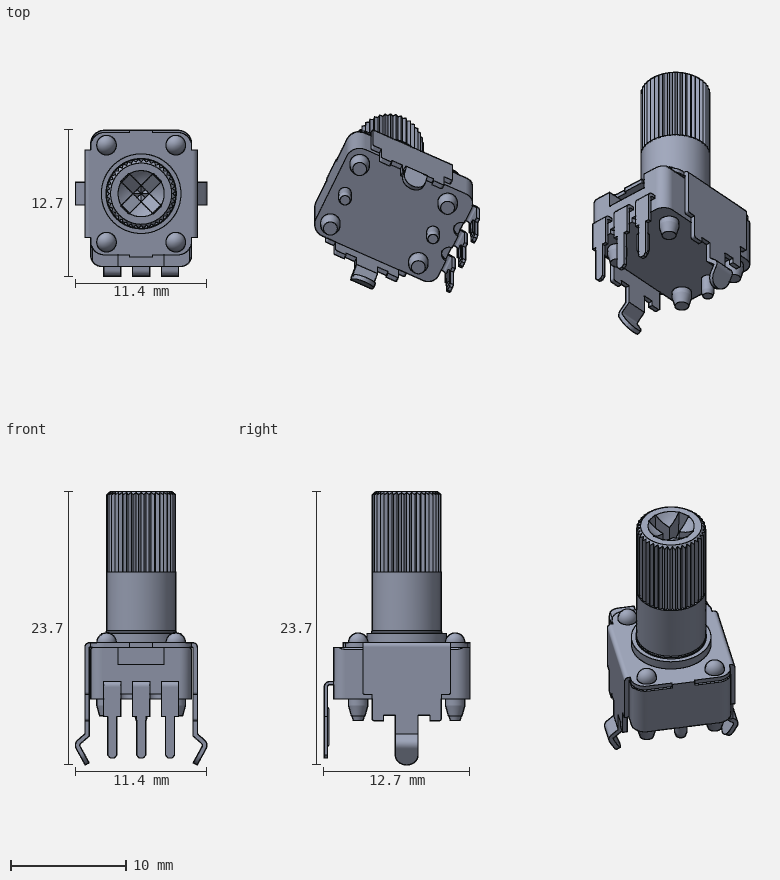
import math

import cadquery as cq

SHAFT_R = 3.0
SHAFT_TOP = 18.0
KNURL_LENGTH = 7.0
KNURL_TEETH = 40
KNURL_DEPTH = 0.24
SHAFT_CHAMFER = 0.35
SHAFT_CHAMFER_HEIGHT = 0.3
RING_R = 3.05
RING_CONE_START = 5.83
RING_TOP = 5.95
COLLAR_R = 3.45
COLLAR_TOP = 5.7

RECESS_R = 2.0
DISH_SPHERE_R = 2.85
SLOT_WIDTH = 1.0
SLOT_WALL_DEPTH = 2.2
SLOT_FLOOR_HALF_LENGTH = 1.9
SLOT_DEPTH = SLOT_WALL_DEPTH + SLOT_FLOOR_HALF_LENGTH

BODY_HALF_WIDTH = 4.38
BODY_FRONT = -6.32
BODY_BACK = 5.5
BODY_HEIGHT = 4.5
FRONT_CORNER_R = 1.0
BACK_CORNER_R = 1.2
TOP_CHAMFER = 0.18
WINDOW_WIDTH = 4.0
WINDOW_FLOOR = 3.0
WINDOW_DEPTH = 1.5
SCALLOP_R = 0.65
SCALLOP_HEIGHT = 0.45

SHEET = 0.4
COVER_TOP = BODY_HEIGHT + SHEET
COVER_HALF_LENGTH = 5.3
COVER_CORNER_R = 1.2
COVER_TAB_HALF_WIDTH = 1.0
COVER_TAB_REACH = 5.5
FLAP_OUTER_X = 4.88
FLAP_HALF_LENGTH = 3.8
FLAP_BOTTOM = 0.4
SKIRT_HALF_LENGTH = 3.0
SKIRT_BOTTOM = -1.87
NOTCH_OUTER_Y = 2.0
NOTCH_TOP = -1.4
FLAP_CORNER_R = 0.2
BEND_R = 0.4

LEG_HALF_WIDTH = 1.0
LEG_BEND_Z = -3.0
LEG_KNEE_X = 5.86
LEG_KNEE_Z = -3.86
LEG_KNEE_R = 0.6
LEG_TIP_X = 4.85
LEG_TIP_Z = -5.7

RIVET_X = 3.0
RIVET_Y = 4.2
RIVET_R = 0.85
PEG_ROOT = 0.45
PEG_R = 0.85
PEG_TIP_R = 0.6
PEG_TAPER_START = -0.55
PEG_BOTTOM = -1.45
SMALL_PEG_R = 0.55
SMALL_PEG_TIP_R = 0.43
SMALL_PEG_BOTTOM = -1.85

PIN_PITCH = 2.5
PIN_THICKNESS = 0.3
PIN_FRONT = -7.15
PIN_TOP = 1.55
PIN_WIDTH = 1.5
PIN_BEND_R = 0.5
PIN_SHOULDER = -1.5
PIN_TAIL_WIDTH = 0.8
PIN_TIP = -5.1
PIN_TIP_WIDTH = 0.35
PIN_TIP_CHAMFER = 0.25
RIB_TOP = -0.7
RIB_BOTTOM = -4.1
RIB_HEIGHT = 0.13
RIB_WIDTH = 0.4


def turned(profile):
    """Solid of revolution about Z from (radius, z) points."""
    return cq.Workplane("XZ").polyline(profile).close().revolve(360, (0, 0), (0, 1))


def box(x0, x1, y0, y1, z0, z1):
    return cq.Workplane("XY").box(x1 - x0, y1 - y0, z1 - z0, centered=False).translate((x0, y0, z0))


def along_x(profile, x0, x1):
    """Prism from (y, z) points, between two X positions."""
    return cq.Workplane("YZ").polyline(profile).close().extrude(x1 - x0).translate((x0, 0, 0))


def along_y(profile, half_length):
    """Prism from (x, z) points, reaching half_length to both sides of Y = 0."""
    return cq.Workplane("XZ").polyline(profile).close().extrude(half_length, both=True)


def fillet_near(solid, point, radius):
    return solid.edges(cq.selectors.NearestToPointSelector(point)).fillet(radius)


def make_shaft():
    shaft = turned([
        (0, BODY_HEIGHT),
        (COLLAR_R, BODY_HEIGHT),
        (COLLAR_R, COLLAR_TOP),
        (RING_R, COLLAR_TOP),
        (RING_R, RING_CONE_START),
        (SHAFT_R, RING_TOP),
        (SHAFT_R, SHAFT_TOP - SHAFT_CHAMFER_HEIGHT),
        (SHAFT_R - SHAFT_CHAMFER, SHAFT_TOP),
        (0, SHAFT_TOP),
    ])
    return shaft.intersect(make_knurl_envelope())


def make_knurl_envelope():
    """Toothed prism over the knurled length, standing on a plain cylinder wider than the shaft."""
    knurl_start = SHAFT_TOP - KNURL_LENGTH
    half_pitch = math.pi / KNURL_TEETH
    teeth = []
    for i in range(2 * KNURL_TEETH):
        radius = SHAFT_R if i % 2 else SHAFT_R - KNURL_DEPTH
        angle = i * half_pitch
        teeth.append((radius * math.cos(angle), radius * math.sin(angle)))
    knurl = cq.Workplane("XY").workplane(offset=knurl_start).polyline(teeth).close().extrude(KNURL_LENGTH)
    plain = cq.Workplane("XY").circle(2 * COLLAR_R).extrude(knurl_start)
    return plain.union(knurl)


def make_recess():
    centre_height = math.sqrt(DISH_SPHERE_R ** 2 - RECESS_R ** 2)
    recess = cq.Workplane("XY").sphere(DISH_SPHERE_R).translate((0, 0, SHAFT_TOP + centre_height))
    slot = along_y(
        [
            (-RECESS_R, SHAFT_TOP),
            (RECESS_R, SHAFT_TOP),
            (SLOT_FLOOR_HALF_LENGTH, SHAFT_TOP - SLOT_WALL_DEPTH),
            (0, SHAFT_TOP - SLOT_DEPTH),
            (-SLOT_FLOOR_HALF_LENGTH, SHAFT_TOP - SLOT_WALL_DEPTH),
        ],
        SLOT_WIDTH / 2,
    )
    for angle in (45, -45):
        recess = recess.union(slot.rotate((0, 0, 0), (0, 0, 1), angle))
    return recess


def make_body():
    """Rounded block with chamfered long top edges, a front window and scallops between the terminals."""
    body = box(-BODY_HALF_WIDTH, BODY_HALF_WIDTH, BODY_FRONT, BODY_BACK, 0, BODY_HEIGHT)
    body = body.edges("|Z and <Y").fillet(FRONT_CORNER_R)
    body = body.edges("|Z and >Y").fillet(BACK_CORNER_R)
    chamfered_section = (
        cq.Workplane("XZ")
        .rect(2 * BODY_HALF_WIDTH, 2 * BODY_HEIGHT)
        .extrude(BODY_BACK - BODY_FRONT, both=True)
        .edges("|Y and >Z")
        .chamfer(TOP_CHAMFER)
    )
    body = body.intersect(chamfered_section)
    window = box(
        -WINDOW_WIDTH / 2, WINDOW_WIDTH / 2,
        BODY_FRONT, BODY_FRONT + WINDOW_DEPTH,
        WINDOW_FLOOR, BODY_HEIGHT,
    )
    body = body.cut(window)
    for x in (-PIN_PITCH / 2, PIN_PITCH / 2):
        body = body.cut(cq.Workplane("XY").center(x, BODY_FRONT).circle(SCALLOP_R).extrude(SCALLOP_HEIGHT))
    return body


def make_cover():
    cover = box(
        -BODY_HALF_WIDTH, BODY_HALF_WIDTH,
        -COVER_HALF_LENGTH, COVER_HALF_LENGTH,
        BODY_HEIGHT, COVER_TOP,
    )
    cover = cover.edges("|Z").fillet(COVER_CORNER_R)
    tabs = box(
        -COVER_TAB_HALF_WIDTH, COVER_TAB_HALF_WIDTH,
        -COVER_TAB_REACH, COVER_TAB_REACH,
        BODY_HEIGHT, COVER_TOP,
    )
    flap = make_flap()
    return cover.union(tabs).union(flap).union(flap.mirror("YZ"))


def flap_outline():
    """Flap on the +X side seen square on, with its skirt, notches and leg, as a thick block."""
    reach = 2 * LEG_KNEE_X
    upper = along_x(
        [
            (-FLAP_HALF_LENGTH, COVER_TOP),
            (-FLAP_HALF_LENGTH, FLAP_BOTTOM),
            (FLAP_HALF_LENGTH, FLAP_BOTTOM),
            (FLAP_HALF_LENGTH, COVER_TOP),
        ],
        0, reach,
    )
    upper = upper.edges("|X and <Z").fillet(FLAP_CORNER_R)
    skirt = box(0, reach, -SKIRT_HALF_LENGTH, SKIRT_HALF_LENGTH, SKIRT_BOTTOM, COVER_TOP)
    skirt = skirt.edges("|X and <Z").fillet(FLAP_CORNER_R)
    for side in (-1, 1):
        y0, y1 = sorted((side * LEG_HALF_WIDTH, side * NOTCH_OUTER_Y))
        skirt = skirt.cut(box(0, reach, y0, y1, SKIRT_BOTTOM, NOTCH_TOP))
    leg = box(0, reach, -LEG_HALF_WIDTH, LEG_HALF_WIDTH, LEG_TIP_Z - SHEET, COVER_TOP)
    return upper.union(skirt).union(leg)


def make_flap():
    """Bent strip on the +X side, trimmed to the flap outline, with a round leg end."""
    inner_x = FLAP_OUTER_X - SHEET
    upper_angle = math.atan2(LEG_BEND_Z - LEG_KNEE_Z, LEG_KNEE_X - FLAP_OUTER_X)
    lower_angle = math.atan2(LEG_KNEE_Z - LEG_TIP_Z, LEG_KNEE_X - LEG_TIP_X)
    inner_bend_z = LEG_BEND_Z - SHEET * (1 - math.sin(upper_angle)) / math.cos(upper_angle)
    knee_bisector = (lower_angle - upper_angle) / 2
    knee_inset = SHEET / math.sin((lower_angle + upper_angle) / 2)
    inner_knee = (
        LEG_KNEE_X - knee_inset * math.cos(knee_bisector),
        LEG_KNEE_Z - knee_inset * math.sin(knee_bisector),
    )
    inner_tip = (
        LEG_TIP_X - SHEET * math.sin(lower_angle),
        LEG_TIP_Z + SHEET * math.cos(lower_angle),
    )
    strip = along_y(
        [
            (0, COVER_TOP),
            (FLAP_OUTER_X, COVER_TOP),
            (FLAP_OUTER_X, LEG_BEND_Z),
            (LEG_KNEE_X, LEG_KNEE_Z),
            (LEG_TIP_X, LEG_TIP_Z),
            inner_tip,
            inner_knee,
            (inner_x, inner_bend_z),
            (inner_x, BODY_HEIGHT),
            (0, BODY_HEIGHT),
        ],
        FLAP_HALF_LENGTH,
    )
    strip = fillet_near(strip, (FLAP_OUTER_X, 0, COVER_TOP), BEND_R)
    strip = fillet_near(strip, (LEG_KNEE_X, 0, LEG_KNEE_Z), LEG_KNEE_R)
    strip = fillet_near(strip, (inner_knee[0], 0, inner_knee[1]), LEG_KNEE_R - SHEET)
    return strip.intersect(flap_outline()).cut(leg_end_trim(lower_angle))


def leg_end_trim(lower_angle):
    """Waste around the half-round leg end, cut square to the sloping leg."""
    leg_face = cq.Plane(
        origin=(LEG_TIP_X, 0, LEG_TIP_Z),
        xDir=(math.cos(lower_angle), 0, math.sin(lower_angle)),
        normal=(math.sin(lower_angle), 0, -math.cos(lower_angle)),
    )
    arc_middle = (LEG_HALF_WIDTH * (1 - math.sqrt(0.5)), LEG_HALF_WIDTH * math.sqrt(0.5))
    waste = (
        cq.Workplane(leg_face)
        .lineTo(0, LEG_HALF_WIDTH)
        .lineTo(LEG_HALF_WIDTH, LEG_HALF_WIDTH)
        .threePointArc(arc_middle, (0, 0))
        .close()
        .extrude(2 * SHEET, both=True)
    )
    return waste.union(waste.mirror("XZ"))


def make_rivets_and_pegs():
    rivet = cq.Workplane("XY").sphere(RIVET_R).translate((0, 0, COVER_TOP))
    peg = turned([
        (0, PEG_ROOT),
        (PEG_R, PEG_ROOT),
        (PEG_R, PEG_TAPER_START),
        (PEG_TIP_R, PEG_BOTTOM),
        (0, PEG_BOTTOM),
    ])
    small_peg = turned([
        (0, PEG_ROOT),
        (SMALL_PEG_R, PEG_ROOT),
        (SMALL_PEG_R, PEG_BOTTOM),
        (SMALL_PEG_TIP_R, SMALL_PEG_BOTTOM),
        (0, SMALL_PEG_BOTTOM),
    ])
    parts = cq.Workplane("XY")
    for y in (-RIVET_Y, RIVET_Y):
        parts = parts.add(small_peg.translate((0, y, 0)))
        for x in (-RIVET_X, RIVET_X):
            parts = parts.add(rivet.translate((x, y, 0))).add(peg.translate((x, y, 0)))
    return parts.vals()


def make_pin():
    """Terminal at X = 0: a bent strip, narrowed to a pointed tail, with a rib on its back."""
    pin_back = PIN_FRONT + PIN_THICKNESS
    arm_bottom = PIN_TOP - PIN_THICKNESS
    root = BODY_FRONT + PIN_THICKNESS
    strip = along_x(
        [
            (root, PIN_TOP),
            (PIN_FRONT, PIN_TOP),
            (PIN_FRONT, PIN_TIP),
            (pin_back, PIN_TIP),
            (pin_back, arm_bottom),
            (root, arm_bottom),
        ],
        -PIN_WIDTH / 2, PIN_WIDTH / 2,
    )
    strip = fillet_near(strip, (0, PIN_FRONT, PIN_TOP), PIN_BEND_R)
    strip = fillet_near(strip, (0, pin_back, arm_bottom), PIN_BEND_R - PIN_THICKNESS)
    half = PIN_WIDTH / 2
    half_tail = PIN_TAIL_WIDTH / 2
    half_tip = PIN_TIP_WIDTH / 2
    tip_start = PIN_TIP + PIN_TIP_CHAMFER
    right_side = [
        (half, PIN_TOP),
        (half, PIN_SHOULDER),
        (half_tail, PIN_SHOULDER),
        (half_tail, tip_start),
        (half_tip, PIN_TIP),
    ]
    left_side = [(-x, z) for x, z in reversed(right_side)]
    pin = strip.intersect(along_y(right_side + left_side, -2 * PIN_FRONT))
    rib = along_x(
        [
            (pin_back, RIB_TOP),
            (pin_back + RIB_HEIGHT, RIB_TOP - RIB_HEIGHT),
            (pin_back + RIB_HEIGHT, RIB_BOTTOM + RIB_HEIGHT),
            (pin_back, RIB_BOTTOM),
        ],
        -RIB_WIDTH / 2, RIB_WIDTH / 2,
    )
    return pin.union(rib)


result = make_body().union(make_cover()).union(make_shaft()).cut(make_recess())
for detail in make_rivets_and_pegs():
    result = result.union(cq.Workplane(detail))
for pin_x in (-PIN_PITCH, 0, PIN_PITCH):
    result = result.union(make_pin().translate((pin_x, 0, 0)))